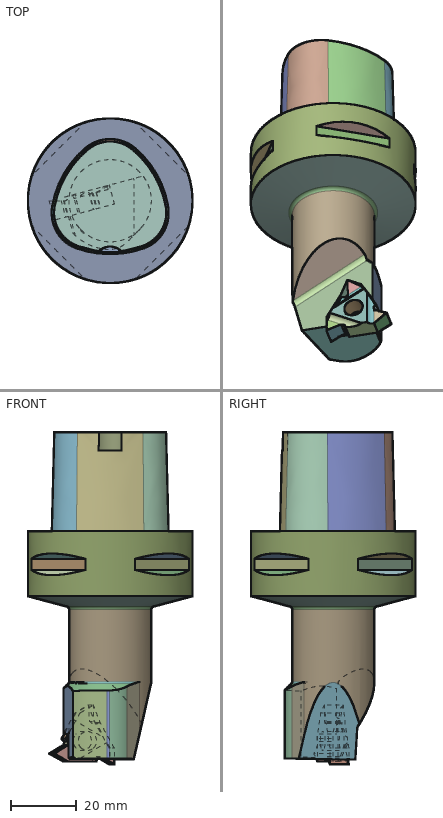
import cadquery as cq
import math


flange_diameter = 50.0
flange_height = 19.7
flange_cone_angle = 15.0
neck_diameter = 25.0
neck_fillet = 1.0
flange_radius = flange_diameter / 2
neck_radius = neck_diameter / 2

groove_count = 4
groove_centre_z = -10.1
groove_depth = 2.8
groove_floor_width = 3.3
groove_flank_angle = 30.0

shank_height = 30.0
lobe_reach = 18.7
flat_reach = 16.2
lobe_half_angle = 40.0
lobe_axes = (90, 210, 330)
flat_turn = 60
shank_taper_angle = 1.43
keyway_radius = 4.8
keyway_bottom_y = -13.9
keyway_depth = 5.5

head_bottom_z = -69.2
head_heel_rise = 0.3
head_edge_chamfer = 0.5
shoulder_z = -46.0
shoulder_fillet = 0.8
head_radius = 14.8
head_angle = 15.0
head_corner_x = -14.2
head_corner_y = 1.0
head_flat_length = 11.2
head_arc_end_x = -1.0
head_flat_end_x = -0.2
bevel_angle = 45.0
relief_start_z = -45.9
relief_bottom_x = 7.1

pocket_fold_x = -0.4
pocket_fold_z = -52.7
pocket_fold_angle = 31.0
pocket_ramp_angle = 43.0
pocket_fillet = 2.5
pocket_reach = 30.2
pocket_half_length = 40.3

insert_centre_x = -8.5
insert_centre_z = -63.6
insert_thickness = 5.9
insert_hole_diameter = 5.7
insert_points = 3
insert_pitch = 360 / insert_points
chip_slope_angle = 15.0
chip_slope_length = 4.3
chip_groove_length = 6.1
tip = (-10.4, -3.8)
flank_end = (-6.1, -6.2)
edge_end = (2.8, -6.2)
notch_inner = (3.1, -5.1)
notch_outer = (4.1, -4.7)

head_cos = math.cos(math.radians(head_angle))
head_sin = math.sin(math.radians(head_angle))


def polar(radius, degrees):
    angle = math.radians(degrees)
    return (radius * math.cos(angle), radius * math.sin(angle))


def add(point, offset):
    return (point[0] + offset[0], point[1] + offset[1])


def chip_face_y(x):
    """Y of the upright chip face at a given X."""
    return head_corner_y + (x - head_corner_x) * head_sin / head_cos


def chip_face_point(x, z):
    return (x, chip_face_y(x), z)


def shank():
    """Tapered polygon of three tight lobe arcs joined tangentially by three shallow arcs."""
    half_angle = math.radians(lobe_half_angle)
    shallow_ratio = math.sin(half_angle) / math.sin(math.radians(flat_turn))
    lobe_ratio = math.cos(half_angle) - shallow_ratio / 2
    centre_gap = (lobe_reach - flat_reach) / (shallow_ratio + lobe_ratio - 1)
    lobe_offset = lobe_ratio * centre_gap
    lobe_radius = lobe_reach - lobe_offset

    def lobe_end(axis, side):
        return add(polar(lobe_offset, axis), polar(lobe_radius, axis + side * lobe_half_angle))

    outline = cq.Workplane("XY").moveTo(*lobe_end(lobe_axes[0], -1))
    for axis in lobe_axes:
        outline = outline.threePointArc(polar(lobe_reach, axis), lobe_end(axis, 1))
        next_lobe_start = lobe_end(axis + 2 * flat_turn, -1)
        outline = outline.threePointArc(polar(flat_reach, axis + flat_turn), next_lobe_start)
    body = outline.close().extrude(shank_height, taper=shank_taper_angle)

    keyway = (
        cq.Workplane("XY", origin=(0, keyway_bottom_y - keyway_radius, shank_height - keyway_depth))
        .circle(keyway_radius)
        .extrude(keyway_depth)
    )
    return body.cut(keyway)


def flange_and_neck():
    """Flange with a conical underside that ends in a quarter round against the neck."""
    cone_end_radius = neck_radius + neck_fillet
    cone_drop = (flange_radius - cone_end_radius) * math.tan(math.radians(flange_cone_angle))
    cone_end_z = -flange_height - cone_drop
    return (
        cq.Workplane("XZ")
        .lineTo(flange_radius, 0)
        .lineTo(flange_radius, -flange_height)
        .lineTo(cone_end_radius, cone_end_z)
        .radiusArc((neck_radius, cone_end_z - neck_fillet), -neck_fillet)
        .lineTo(neck_radius, head_bottom_z)
        .lineTo(0, head_bottom_z)
        .close()
        .revolve(360, (0, 0, 0), (0, 1, 0))
    )


def gripper_grooves():
    """Straight grooves with a flat floor and sloping flanks, one every quarter turn."""
    floor_x = flange_radius - groove_depth
    floor_half = groove_floor_width / 2
    mouth_x = flange_radius + groove_depth
    mouth_half = floor_half + (mouth_x - floor_x) * math.tan(math.radians(groove_flank_angle))
    groove = (
        cq.Workplane("XZ", origin=(0, 0, groove_centre_z))
        .polyline(
            [
                (floor_x, -floor_half),
                (mouth_x, -mouth_half),
                (mouth_x, mouth_half),
                (floor_x, floor_half),
            ]
        )
        .close()
        .extrude(flange_radius, both=True)
    )
    pitch = 360 / groove_count
    grooves = cq.Workplane("XY")
    for index in range(groove_count):
        grooves = grooves.add(groove.rotate((0, 0, 0), (0, 0, 1), (index + 0.5) * pitch))
    return grooves.combine()


def head():
    """Side of the head that stands out from the neck, under a 45 degree shoulder."""
    arc_start = (
        head_corner_x + head_flat_length * head_sin,
        head_corner_y - head_flat_length * head_cos,
    )
    arc_end = (head_arc_end_x, -math.sqrt(head_radius**2 - head_arc_end_x**2))
    flat_end = (head_flat_end_x, arc_end[1])
    tangent_point = polar(neck_radius, -bevel_angle)
    corner_run = tangent_point[0] - tangent_point[1] - flat_end[0] + flat_end[1]
    corner_radius = corner_run / (math.sqrt(2) - 1)
    corner_centre = (flat_end[0], flat_end[1] + corner_radius)
    corner_middle = add(corner_centre, polar(corner_radius, bevel_angle / 2 - 90))
    corner_end = add(corner_centre, polar(corner_radius, -bevel_angle))
    chord_sum = add(arc_start, arc_end)
    arc_middle = polar(head_radius, math.degrees(math.atan2(chord_sum[1], chord_sum[0])))
    fillet_run = shoulder_fillet * math.tan(math.radians(bevel_angle / 2))
    fillet_end = add((neck_radius, shoulder_z), polar(fillet_run, -bevel_angle))
    prism = (
        cq.Workplane("XY", origin=(0, 0, head_bottom_z))
        .moveTo(head_corner_x, head_corner_y)
        .lineTo(*arc_start)
        .threePointArc(arc_middle, arc_end)
        .lineTo(*flat_end)
        .threePointArc(corner_middle, corner_end)
        .lineTo(*tangent_point)
        .lineTo(0, chip_face_y(0))
        .close()
        .extrude(shoulder_z + fillet_run - head_bottom_z)
    )
    shoulder_reach = head_radius + 1
    shoulder = (
        cq.Workplane("XZ")
        .moveTo(0, shoulder_z + fillet_run)
        .lineTo(neck_radius, shoulder_z + fillet_run)
        .radiusArc(fillet_end, -shoulder_fillet)
        .lineTo(shoulder_reach, shoulder_z - shoulder_reach + neck_radius)
        .lineTo(shoulder_reach, head_bottom_z)
        .lineTo(0, head_bottom_z)
        .close()
        .revolve(360, (0, 0, 0), (0, 1, 0))
    )
    return prism.intersect(shoulder)


def relief():
    """Sloping cut on the +X side of the head."""
    return (
        cq.Workplane("XZ")
        .polyline(
            [
                (neck_radius, relief_start_z),
                (relief_bottom_x, head_bottom_z),
                (neck_radius, head_bottom_z),
            ]
        )
        .close()
        .extrude(flange_radius, both=True)
    )


def heel_relief():
    """Slight rise of the end face from the chip face toward the -Y side."""
    return (
        cq.Workplane("YZ")
        .polyline(
            [
                (chip_face_y(relief_bottom_x), head_bottom_z),
                (-head_radius, head_bottom_z + head_heel_rise),
                (-head_radius, head_bottom_z),
            ]
        )
        .close()
        .extrude(flange_radius, both=True)
    )


def chip_pocket():
    """Cut bounded by the upright chip face and a ramp that meets it along a sloping fold."""
    fold_run, fold_drop = polar(1, pocket_fold_angle)
    fold = chip_face_point(pocket_fold_x, pocket_fold_z)
    plane = cq.Plane(
        origin=fold,
        xDir=(-head_sin, head_cos, 0),
        normal=(head_cos * fold_run, head_sin * fold_run, -fold_drop),
    )
    ramp_rise = pocket_reach * math.tan(math.radians(pocket_ramp_angle))
    return (
        cq.Workplane(plane)
        .polyline([(0, 0), (pocket_reach, ramp_rise), (pocket_reach, -pocket_reach), (0, -pocket_reach)])
        .close()
        .extrude(pocket_half_length, both=True)
        .edges(cq.NearestToPointSelector(fold))
        .fillet(pocket_fillet)
    )


def insert_prism(edge_points):
    """Flat prism whose outline repeats the given edge points once for every insert point."""
    outline = []
    for index in range(insert_points):
        turn = index * insert_pitch
        for x, y in edge_points:
            outline.append(polar(math.hypot(x, y), math.degrees(math.atan2(y, x)) + turn))
    return cq.Workplane("XY").polyline(outline).close().extrude(insert_thickness)


def chip_groove():
    """Wedge that slopes down from an insert tip and curves back up to the insert face."""
    slope_end = add((tip[0], 0), polar(chip_slope_length, chip_slope_angle))
    return (
        cq.Workplane("XZ")
        .moveTo(tip[0], 0)
        .lineTo(*slope_end)
        .tangentArcPoint((tip[0] + chip_groove_length, 0), relative=False)
        .close()
        .extrude(insert_thickness * 2, both=True)
    )


def threading_insert():
    """Insert with its cutting face on the XY plane and its thickness along +Z."""
    hole = cq.Workplane("XY").circle(insert_hole_diameter / 2).extrude(insert_thickness)
    body = insert_prism([tip, flank_end, edge_end, notch_inner, notch_outer]).cut(hole)
    for index in range(insert_points):
        body = body.cut(chip_groove().rotate((0, 0, 0), (0, 0, 1), index * insert_pitch))
    return body


def mounted(shape):
    """Move a shape from the insert's own axes to its place on the chip face."""
    plane = cq.Plane(
        origin=chip_face_point(insert_centre_x, insert_centre_z),
        xDir=(head_cos, head_sin, 0),
        normal=(head_sin, -head_cos, 0),
    )
    return cq.Workplane(shape.val().moved(cq.Location(plane)))


def holder_body():
    """Shank, flange, neck and head in one piece, with every cut made in it."""
    side_middle = head_flat_length / 2
    side_bottom_edge = cq.NearestToPointSelector(
        (head_corner_x + side_middle * head_sin, head_corner_y - side_middle * head_cos, head_bottom_z)
    )
    insert_seat = mounted(insert_prism([tip, flank_end, edge_end]))
    body = flange_and_neck().union(shank()).union(head())
    body = body.cut(gripper_grooves()).cut(relief()).cut(heel_relief())
    body = body.edges(side_bottom_edge).chamfer(head_edge_chamfer)
    return body.cut(chip_pocket()).cut(insert_seat)


holder = holder_body()
insert = mounted(threading_insert())

result = cq.Compound.makeCompound([holder.solids().val(), insert.solids().val()])